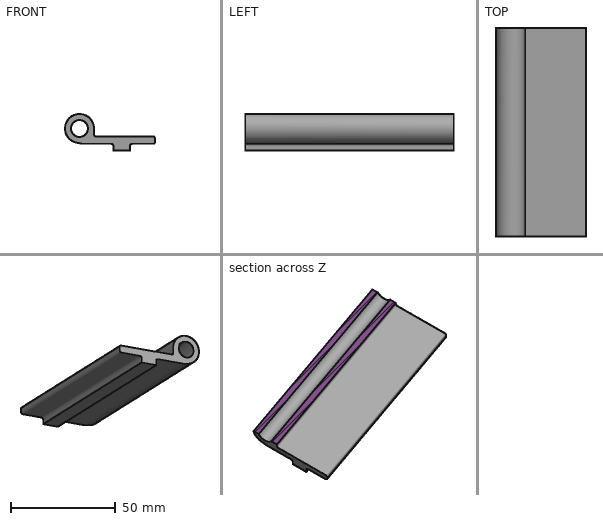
import cadquery as cq
import math

length = 100.0
overall_width = 43.2
overall_height = 17.6

barrel_radius = 7.0
bore_diameter = 8.0

leaf_thickness = 3.6
rail_height = 3.2
rail_width = 8.0
rail_to_leaf_edge = 12.0
leaf_bottom_start = 1.6
inner_fillet = 1.0
leaf_edge_fillet = 1.0

leaf_right = overall_width - barrel_radius
rail_bottom = barrel_radius - overall_height
leaf_bottom = rail_bottom + rail_height
leaf_top = leaf_bottom + leaf_thickness
rail_right = leaf_right - rail_to_leaf_edge
rail_left = rail_right - rail_width

start_distance = math.hypot(leaf_bottom_start, leaf_bottom)
start_angle = math.atan2(leaf_bottom, leaf_bottom_start)
tangent_angle = start_angle - math.acos(barrel_radius / start_distance)
tangent_point = (barrel_radius * math.cos(tangent_angle), barrel_radius * math.sin(tangent_angle))

arc_mid_angle = (tangent_angle + 2 * math.pi) / 2
arc_mid = (barrel_radius * math.cos(arc_mid_angle), barrel_radius * math.sin(arc_mid_angle))


def fillet_edges_at(body, x, z, radius):
    """Round the lengthwise edge that passes through (x, z)."""
    edge = cq.selectors.NearestToPointSelector((x, 0, z))
    return body.edges("|Y").edges(edge).fillet(radius)


result = (
    cq.Workplane("XZ")
    .moveTo(barrel_radius, 0)
    .threePointArc(arc_mid, tangent_point)
    .lineTo(leaf_bottom_start, leaf_bottom)
    .lineTo(rail_left, leaf_bottom)
    .lineTo(rail_left, rail_bottom)
    .lineTo(rail_right, rail_bottom)
    .lineTo(rail_right, leaf_bottom)
    .lineTo(leaf_right, leaf_bottom)
    .lineTo(leaf_right, leaf_top)
    .lineTo(barrel_radius, leaf_top)
    .close()
    .extrude(length / 2, both=True)
)

for corner_x, corner_z in [
    (barrel_radius, leaf_top),
    (rail_left, leaf_bottom),
    (rail_right, leaf_bottom),
]:
    result = fillet_edges_at(result, corner_x, corner_z, inner_fillet)

for corner_z in (leaf_bottom, leaf_top):
    result = fillet_edges_at(result, leaf_right, corner_z, leaf_edge_fillet)

bore = cq.Workplane("XZ").circle(bore_diameter / 2).extrude(length / 2, both=True)
result = result.cut(bore)